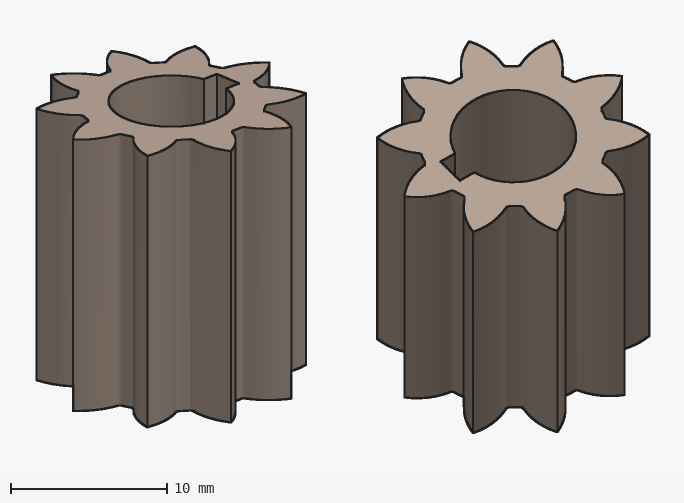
import cadquery as cq
import math

length = 19.05
tooth_count = 10
tip_radius = 8.72
root_radius = 6.1
root_fillet = 0.27

flank_mid_half_width = 1.03
flank_mid_height = 7.32
root_half_width = 1.41
root_height = math.sqrt(root_radius**2 - root_half_width**2)

bore_radius = 4.02
key_width = 2.05
key_top = 5.05


def make_tooth():
    """Pointed tooth with two convex flanks, extended inward to the axis."""
    return (
        cq.Workplane("XY")
        .moveTo(0, 0)
        .lineTo(-root_half_width, root_height)
        .threePointArc((-flank_mid_half_width, flank_mid_height), (0, tip_radius))
        .threePointArc((flank_mid_half_width, flank_mid_height), (root_half_width, root_height))
        .close()
        .extrude(length)
    )


def make_toothed_blank():
    """Root cylinder with evenly spaced teeth and filleted tooth roots."""
    blank = cq.Workplane("XY").circle(root_radius).extrude(length)
    tooth = make_tooth()
    for index in range(tooth_count):
        angle = index * 360 / tooth_count
        blank = blank.union(tooth.rotate((0, 0, 0), (0, 0, 1), angle))

    select_radius = (root_radius + tip_radius) / 2
    root_zone = cq.Workplane("XY").circle(select_radius).extrude(length).val()
    root_edges = [
        edge for edge in blank.edges("|Z").vals()
        if root_zone.isInside(edge.Center())
    ]
    return blank.newObject(root_edges).fillet(root_fillet)


def make_keyed_bore():
    """Through bore with a rectangular keyway on the +Y side."""
    bore = cq.Workplane("XY").circle(bore_radius).extrude(length)
    keyway = (
        cq.Workplane("XY")
        .rect(key_width, key_top)
        .extrude(length)
        .translate((0, key_top / 2, 0))
    )
    return bore.union(keyway)


result = make_toothed_blank().cut(make_keyed_bore())